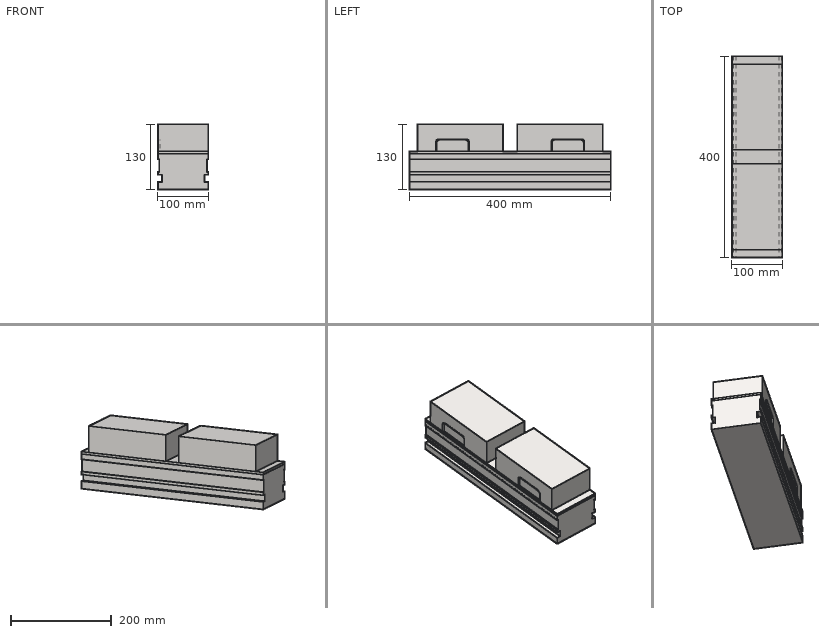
import cadquery as cq

LENGTH = 400.0
WIDTH = 100.0
HEIGHT = 130.0

BASE_TOP = 71.0
PLATE_TOP = 76.0
SLOT_BOTTOM = 15.5
SLOT_TOP = 29.0
SLOT_DEPTH = 7.5
RELIEF_BOTTOM = 35.0
RELIEF_TOP = 60.0
RELIEF_DEPTH = 2.5

END_LEDGE = 16.0
BLOCK_GAP = 28.0
BLOCK_LENGTH = (LENGTH - BLOCK_GAP) / 2 - END_LEDGE
BLOCK_CENTER = BLOCK_GAP / 2 + BLOCK_LENGTH / 2

POCKET_LENGTH = 66.0
POCKET_HEIGHT = 24.5
POCKET_CENTER = 114.5
POCKET_DEPTH = 3.0
POCKET_RADIUS = 6.5
POCKET_INSET = 1.8


def side_groove(side, bottom, top, depth):
    """Full-length groove cutter on the side at +X (1) or -X (-1)."""
    return (
        cq.Workplane("XY")
        .box(2 * depth, LENGTH, top - bottom, centered=(True, True, False))
        .translate((side * WIDTH / 2, 0, bottom))
    )


def make_base():
    base = cq.Workplane("XY").box(WIDTH, LENGTH, BASE_TOP, centered=(True, True, False))
    for side in (-1, 1):
        base = base.cut(side_groove(side, SLOT_BOTTOM, SLOT_TOP, SLOT_DEPTH))
        base = base.cut(side_groove(side, RELIEF_BOTTOM, RELIEF_TOP, RELIEF_DEPTH))
    return base


def make_cover_plate():
    return (
        cq.Workplane("XY", origin=(0, 0, BASE_TOP))
        .box(WIDTH, LENGTH, PLATE_TOP - BASE_TOP, centered=(True, True, False))
    )


def pocket_outline(inset):
    """Rounded rectangle centred on the block underside, so its lower half falls outside the block."""
    length = POCKET_LENGTH - 2 * inset
    full_height = 2 * (POCKET_HEIGHT - inset)
    return cq.Sketch().rect(length, full_height).vertices().fillet(POCKET_RADIUS - inset)


def make_pocket(y_center):
    """Cutter that narrows from the -X face of a block to the pocket floor."""
    mouth = cq.Plane(origin=(-WIDTH / 2, y_center, PLATE_TOP), xDir=(0, 1, 0), normal=(1, 0, 0))
    floor_offset = cq.Location(cq.Vector(0, 0, POCKET_DEPTH))
    floor_outline = pocket_outline(POCKET_INSET).moved(floor_offset)
    return cq.Workplane(mouth).placeSketch(pocket_outline(0), floor_outline).loft()


def make_block(direction):
    """Upper block on the +Y (1) or -Y (-1) half."""
    block = (
        cq.Workplane("XY", origin=(0, direction * BLOCK_CENTER, PLATE_TOP))
        .box(WIDTH, BLOCK_LENGTH, HEIGHT - PLATE_TOP, centered=(True, True, False))
    )
    return block.cut(make_pocket(direction * POCKET_CENTER))


base = make_base()
cover_plate = make_cover_plate()
blocks = [make_block(direction) for direction in (-1, 1)]

result = cq.Compound.makeCompound([base.val(), cover_plate.val(), *[block.val() for block in blocks]])